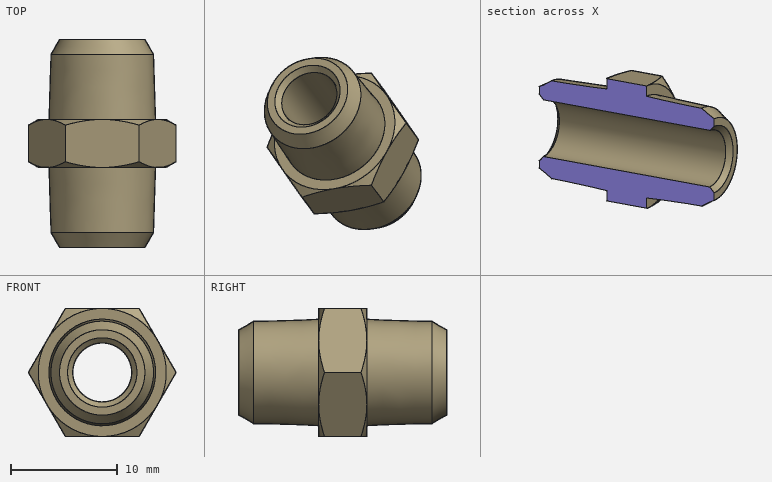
import cadquery as cq
import math


total_length = 19.5
hex_length = 4.5
hex_flats = 12.0
hex_corners = hex_flats / math.cos(math.radians(30))
hex_chamfer_angle = 30.0

spigot_root_diameter = 10.0
taper_ratio = 1 / 16
tip_diameter = 8.0
tip_chamfer_angle = 30.0

bore_diameter = 5.5
bore_mouth_diameter = 6.5

half_length = total_length / 2
half_hex = hex_length / 2
spigot_length = half_length - half_hex

tip_radius = tip_diameter / 2
root_radius = spigot_root_diameter / 2
taper_slope = taper_ratio / 2
tip_slope = math.tan(math.radians(tip_chamfer_angle))
tip_length = (root_radius - taper_slope * spigot_length - tip_radius) / (tip_slope - taper_slope)
shoulder_radius = tip_radius + tip_slope * tip_length


def revolve_about_y(points):
    """Revolve a closed (radius, y) outline about the Y axis."""
    return cq.Workplane("XY").polyline(points).close().revolve(360, (0, 0, 0), (0, 1, 0))


def make_hexagon():
    """Hexagon with corners on X, its corners cut by a cone at both ends."""
    prism = (
        cq.Workplane("XZ")
        .polygon(6, hex_corners)
        .extrude(half_hex, both=True)
    )
    flat_radius = hex_flats / 2
    corner_radius = hex_corners / 2
    corner_drop = (corner_radius - flat_radius) * math.tan(math.radians(hex_chamfer_angle))
    envelope = revolve_about_y([
        (0, -half_hex),
        (flat_radius, -half_hex),
        (corner_radius, -half_hex + corner_drop),
        (corner_radius, half_hex - corner_drop),
        (flat_radius, half_hex),
        (0, half_hex),
    ])
    return prism.intersect(envelope)


def make_spigot(side):
    """Tapered spigot with a chamfered tip; side is +1 or -1 along Y."""
    return revolve_about_y([
        (0, 0),
        (root_radius, 0),
        (root_radius, side * half_hex),
        (shoulder_radius, side * (half_length - tip_length)),
        (tip_radius, side * half_length),
        (0, side * half_length),
    ])


def make_bore():
    """Through bore with a 45 degree countersink at each mouth."""
    bore_radius = bore_diameter / 2
    mouth_radius = bore_mouth_diameter / 2
    mouth_depth = mouth_radius - bore_radius
    return revolve_about_y([
        (0, -half_length),
        (mouth_radius, -half_length),
        (bore_radius, -half_length + mouth_depth),
        (bore_radius, half_length - mouth_depth),
        (mouth_radius, half_length),
        (0, half_length),
    ])


body = make_hexagon()
for side in (1, -1):
    body = body.union(make_spigot(side))

result = body.cut(make_bore())